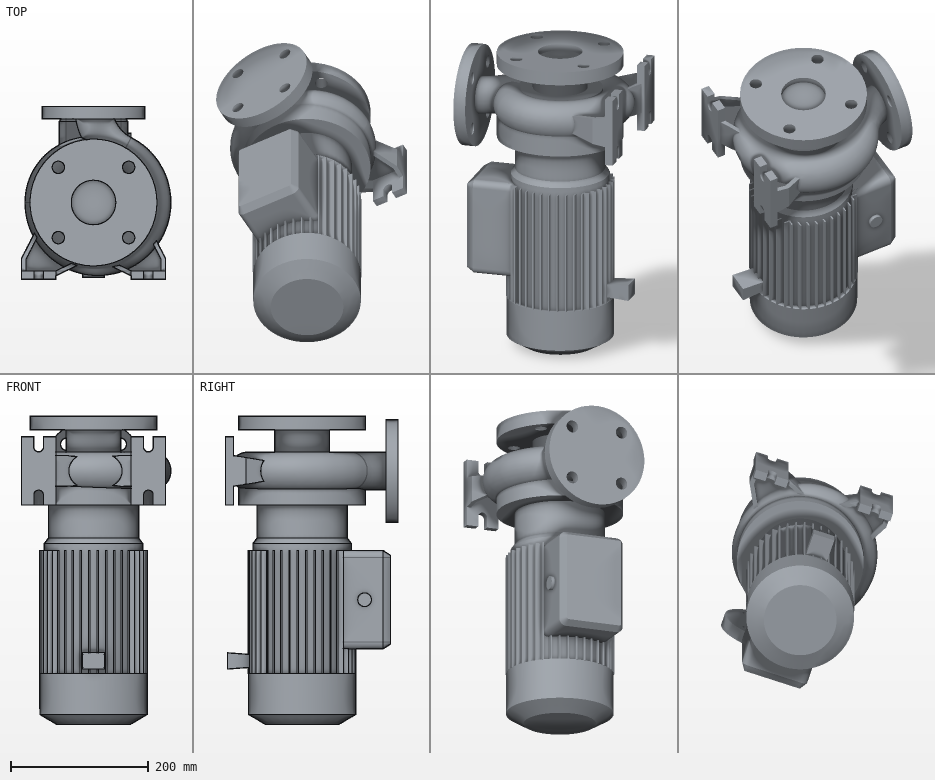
import math

import cadquery as cq


suction_face_z = 80
suction_flange_diameter = 185
suction_flange_thickness = 20
suction_bolt_circle = 145
suction_neck_diameter = 80
suction_bore_diameter = 65
suction_bore_depth = 10
discharge_face_y = 140
discharge_flange_diameter = 150
discharge_flange_thickness = 18
discharge_bolt_circle = 110
bolt_hole_diameter = 18
bolt_hole_count = 4
first_bolt_angle = 45

tube_radius = 27.5
volute_radius = 79
volute_center_x = 6.5
volute_exit_angle = 63
volute_tail_radius = 68.5

casing_radius = 92.5
casing_bottom_z = -50
lantern_radius = 66
casing_core_radius = 62.5
casing_core_top_z = 25
lantern_bottom_z = -98
motor_core_radius = 72
motor_shoulder_z = -106
fins_top_z = -116
fins_bottom_z = -295
fan_cover_radius = 78.5
fan_cover_taper_z = -355
fan_cover_end_radius = 53
motor_end_z = -370

fin_tip_radius = 79
fin_thickness = 2
fin_pitch_angle = 9
fins_per_half_sector = 5
sector_count = 4
fin_root_radius = 50

box_width = 100
box_outer_y = 129
box_height = 143.5
box_corner_radius = 10
box_lid_depth = 11
box_lid_inset = 7
gland_diameter = 20
gland_length = 5
gland_center_y = 91

block_width = 32
block_outer_y = -109
block_center_z = -277
block_outer_height = 24
block_root_y = -75
block_root_height = 19

foot_outer_x = 105
foot_width = 50
foot_height = 100
foot_back_y = -112
foot_thickness = 12
foot_slot_width = 14
foot_slot_depth = 22
foot_slot_x = 80
web_thickness = 6.5
web_bend_y = -81.5
outer_web_angle = 63
outer_web_length = 58
inner_web_angle = 26
inner_web_length = 42
inner_web_root_y = -107
web_half_height = 22.5
web_end_half_height = 6
foot_plate_thickness = 7


def cylinder(radius, bottom_z, top_z):
    return cq.Workplane("XY").workplane(offset=bottom_z).circle(radius).extrude(top_z - bottom_z)


def suction_branch():
    flange_bottom_z = suction_face_z - suction_flange_thickness
    neck = cylinder(suction_neck_diameter / 2, 0, flange_bottom_z)
    flange = (
        cylinder(suction_flange_diameter / 2, flange_bottom_z, suction_face_z)
        .faces(">Z").workplane()
        .polarArray(suction_bolt_circle / 2, first_bolt_angle, 360, bolt_hole_count)
        .hole(bolt_hole_diameter)
    )
    bore = cylinder(suction_bore_diameter / 2, suction_face_z - suction_bore_depth, suction_face_z)
    return neck.union(flange).cut(bore)


def discharge_flange():
    return (
        cq.Workplane("XZ", origin=(0, discharge_face_y, 0))
        .circle(discharge_flange_diameter / 2)
        .extrude(discharge_flange_thickness)
        .faces(">Y").workplane(origin=(0, discharge_face_y, 0))
        .polarArray(discharge_bolt_circle / 2, first_bolt_angle, 360, bolt_hole_count)
        .hole(bolt_hole_diameter)
    )


def sweep_tube(path, start, direction):
    section = cq.Plane(
        origin=(start[0], start[1], 0),
        xDir=(0, 0, 1),
        normal=(direction[0], direction[1], 0),
    )
    return cq.Workplane(section).circle(tube_radius).sweep(path)


def volute():
    left = (volute_center_x - volute_radius, 0)
    bottom = (volute_center_x, -volute_radius)
    exit_angle = math.radians(volute_exit_angle)
    exit_direction = (-math.sin(exit_angle), math.cos(exit_angle))
    exit_point = (
        volute_center_x + volute_radius * math.cos(exit_angle),
        volute_radius * math.sin(exit_angle),
    )
    scroll_path = cq.Workplane("XY").moveTo(*left).threePointArc(bottom, exit_point)
    scroll = sweep_tube(scroll_path, left, (0, -1))

    bend_radius = exit_point[0] / (1 - math.cos(exit_angle))
    bend_center = (bend_radius, exit_point[1] + bend_radius * math.sin(exit_angle))
    bend_middle = (
        bend_center[0] - bend_radius * math.cos(exit_angle / 2),
        bend_center[1] - bend_radius * math.sin(exit_angle / 2),
    )
    branch_path = cq.Workplane("XY").moveTo(*exit_point).threePointArc(bend_middle, (0, bend_center[1]))
    branch = sweep_tube(branch_path, exit_point, exit_direction)

    tail_center_x = left[0] + volute_tail_radius
    tail_middle = (
        tail_center_x - volute_tail_radius * math.cos(math.pi / 4),
        volute_tail_radius * math.sin(math.pi / 4),
    )
    tail_path = (
        cq.Workplane("XY").moveTo(*left)
        .threePointArc(tail_middle, (tail_center_x, volute_tail_radius))
    )
    tail = sweep_tube(tail_path, left, (0, 1))
    return scroll.union(branch).union(tail)


def turned_body():
    casing = cylinder(casing_radius, casing_bottom_z, 0)
    casing_core = cylinder(casing_core_radius, casing_bottom_z, casing_core_top_z)
    motor = (
        cq.Workplane("XZ")
        .moveTo(0, 0)
        .lineTo(lantern_radius, 0)
        .lineTo(lantern_radius, lantern_bottom_z)
        .lineTo(motor_core_radius, motor_shoulder_z)
        .lineTo(motor_core_radius, fins_bottom_z)
        .lineTo(fan_cover_radius, fins_bottom_z)
        .lineTo(fan_cover_radius, fan_cover_taper_z)
        .lineTo(fan_cover_end_radius, motor_end_z)
        .lineTo(0, motor_end_z)
        .close()
        .revolve(360, (0, 0, 0), (0, 1, 0))
    )
    return casing.union(casing_core).union(motor)


def cooling_fins():
    fin_length = fins_top_z - fins_bottom_z
    fins = cq.Workplane("XY")
    for index in range(fins_per_half_sector):
        angle = math.radians((index + 0.5) * fin_pitch_angle)
        offset = fin_tip_radius * math.sin(angle)
        tip = fin_tip_radius * math.cos(angle)
        for side in (-1, 1):
            fin = (
                cq.Workplane("XY")
                .box(tip - fin_root_radius, fin_thickness, fin_length, centered=(False, True, False))
                .translate((fin_root_radius, side * offset, fins_bottom_z))
            )
            for sector in range(sector_count):
                fins = fins.add(fin.rotate((0, 0, 0), (0, 0, 1), sector * 360 / sector_count))
    return fins.combine()


def terminal_box():
    center_z = fins_top_z - box_height / 2
    lid_taper = math.degrees(math.atan(box_lid_inset / box_lid_depth))
    lid_back_y = box_outer_y - box_lid_depth
    axis_plane = cq.Plane(origin=(0, 0, center_z), xDir=(0, 0, 1), normal=(0, 1, 0))
    section = cq.Sketch().rect(box_height, box_width).vertices().fillet(box_corner_radius)
    box = cq.Workplane(axis_plane).placeSketch(section).extrude(lid_back_y)
    lid = (
        cq.Workplane(axis_plane).workplane(offset=lid_back_y)
        .placeSketch(section)
        .extrude(box_lid_depth, taper=lid_taper)
    )
    gland = (
        cq.Workplane("YZ", origin=(box_width / 2, gland_center_y, center_z))
        .circle(gland_diameter / 2)
        .extrude(gland_length)
    )
    return box.union(lid).union(gland)


def drain_block():
    return (
        cq.Workplane("YZ", origin=(0, 0, block_center_z))
        .moveTo(block_outer_y, -block_outer_height / 2)
        .lineTo(block_outer_y, block_outer_height / 2)
        .lineTo(block_root_y, block_root_height / 2)
        .lineTo(block_root_y, -block_root_height / 2)
        .close()
        .extrude(block_width / 2, both=True)
    )


def web_outline():
    """Plan outline of the webs that join the +X foot to the volute."""
    inner_x = foot_outer_x - foot_width
    outer_angle = math.radians(outer_web_angle)
    inner_angle = math.radians(inner_web_angle)
    outer_end = (
        foot_outer_x - outer_web_length * math.cos(outer_angle),
        web_bend_y + outer_web_length * math.sin(outer_angle),
    )
    inner_end = (
        inner_x - inner_web_length * math.cos(inner_angle),
        inner_web_root_y + inner_web_length * math.sin(inner_angle),
    )
    return (
        cq.Workplane("XY")
        .moveTo(inner_x, foot_back_y)
        .lineTo(foot_outer_x, foot_back_y)
        .lineTo(foot_outer_x, web_bend_y)
        .lineTo(*outer_end)
        .lineTo(*inner_end)
        .lineTo(inner_x, inner_web_root_y)
        .close()
    )


def foot():
    """The foot on the +X side."""
    front_y = foot_back_y + foot_thickness
    inner_x = foot_outer_x - foot_width
    pad = (
        cq.Workplane("XY")
        .box(foot_width, foot_thickness, foot_height, centered=(False, False, True))
        .translate((inner_x, foot_back_y, 0))
    )
    for end in (-1, 1):
        slot = (
            cq.Workplane("XZ", origin=(foot_slot_x, front_y, end * foot_height / 2))
            .slot2D(2 * foot_slot_depth, foot_slot_width, 90)
            .extrude(foot_thickness)
        )
        pad = pad.cut(slot)

    plan = web_outline().extrude(web_half_height, both=True)
    pocket = web_outline().offset2D(-web_thickness).extrude(web_half_height, both=True)
    plate = web_outline().extrude(foot_plate_thickness / 2, both=True)
    side_profile = (
        cq.Workplane("YZ")
        .moveTo(foot_back_y, -web_half_height)
        .lineTo(front_y, -web_half_height)
        .lineTo(0, -web_end_half_height)
        .lineTo(0, web_end_half_height)
        .lineTo(front_y, web_half_height)
        .lineTo(foot_back_y, web_half_height)
        .close()
        .extrude(foot_outer_x)
    )
    webs = plan.cut(pocket).union(plate).intersect(side_profile)
    return pad.union(webs)


right_foot = foot()
left_foot = right_foot.mirror("YZ")

result = (
    turned_body()
    .union(volute())
    .union(suction_branch())
    .union(discharge_flange())
    .union(cooling_fins())
    .union(terminal_box())
    .union(drain_block())
    .union(right_foot)
    .union(left_foot)
)